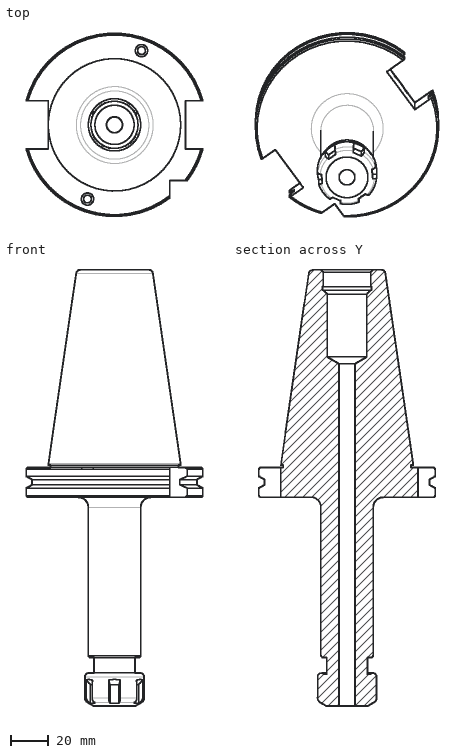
import cadquery as cq
import math


taper_height = 101.7
gauge_radius = 35.0
taper_slope = 7 / 48
top_fillet = 2.3
taper_foot = -1.2
collar_bottom = -2.0
relief_radius = 34.0

flange_radius = 48.7
flange_top = -3.2
flange_bottom = -19.2
flange_chamfer = 1.0
groove_centre = -11.1
groove_floor_width = 2.8
groove_depth = 3.0
groove_half_angle = 30

slot_width = 25.5
left_slot_x = -35.2
right_slot_x = 37.8
notch_x = 29.5
notch_y = -29.7

coolant_radius = 42.0
coolant_angle = 70
coolant_diameter = 4.2
coolant_mouth_diameter = 6.5
coolant_depth = 7.0

total_length = 231.8
bottom_z = taper_height - total_length
shank_radius = 28.0 / 2
shank_bottom = bottom_z + 25.7
shank_fillet = 5.0
shank_chamfer = 1.0
neck_radius = 22.0 / 2

nut_radius = 15.8
nut_top = bottom_z + 17.5
nut_top_fillet = 2.0
nut_mouth_radius = 12.0
nut_mouth_edge_radius = 13.2
nut_mouth_depth = 0.7
nut_face_radius = 11.1
nut_bevel_height = 2.8
nut_bevel_fillet = 2.8
nut_slot_count = 6
nut_slot_first_angle = 30
nut_slot_mouth_width = 6.5
nut_slot_floor_width = 4.6
nut_slot_floor = 13.5
nut_slot_top = bottom_z + 14.1
nut_slot_floor_top = bottom_z + 11.4

mouth_radius = 14.0
pilot_radius = 12.5
pilot_depth = 9.0
relief_groove_radius = 13.0
relief_groove_end = 11.0
thread_radius = 10.5
thread_start = 13.0
thread_end = 46.4
through_radius = 4.2
drill_half_angle = 60


def revolve(points):
    """Turn a closed (radius, z) outline about the Z axis."""
    return cq.Workplane("XZ").polyline(points).close().revolve(360, (0, 0), (0, 1))


def make_taper():
    top_radius = gauge_radius - taper_height * taper_slope
    foot_radius = gauge_radius - taper_foot * taper_slope
    taper = revolve([
        (0, flange_bottom),
        (relief_radius, flange_bottom),
        (relief_radius, collar_bottom),
        (foot_radius, collar_bottom),
        (foot_radius, taper_foot),
        (top_radius, taper_height),
        (0, taper_height),
    ])
    return taper.faces(">Z").edges().fillet(top_fillet)


def make_groove():
    floor_radius = flange_radius - groove_depth
    floor_half = groove_floor_width / 2
    mouth_half = floor_half + groove_depth * math.tan(math.radians(groove_half_angle))
    return revolve([
        (floor_radius, groove_centre - floor_half),
        (flange_radius, groove_centre - mouth_half),
        (flange_radius, groove_centre + mouth_half),
        (floor_radius, groove_centre + floor_half),
    ])


def flange_cut(x_start, x_end, y_start, y_end):
    """Rectangular cutter as tall as the flange."""
    return cq.Workplane("XY").box(
        x_end - x_start, y_end - y_start, flange_top - flange_bottom, centered=False
    ).translate((x_start, y_start, flange_bottom))


def make_coolant_hole():
    """Countersunk blind drill hole at +X."""
    radius = coolant_diameter / 2
    mouth = coolant_mouth_diameter / 2
    sink_depth = mouth - radius
    tip_depth = coolant_depth + radius / math.tan(math.radians(drill_half_angle))
    hole = revolve([
        (0, 0),
        (mouth, 0),
        (radius, -sink_depth),
        (radius, -coolant_depth),
        (0, -tip_depth),
    ])
    return hole.translate((coolant_radius, 0, flange_top))


def make_flange():
    height = flange_top - flange_bottom
    flange = cq.Workplane("XY").workplane(offset=flange_bottom).circle(flange_radius).extrude(height)
    flange = flange.edges().chamfer(flange_chamfer)
    return flange.cut(make_groove())


def make_shank():
    shank = revolve([
        (0, shank_bottom),
        (shank_radius - shank_chamfer, shank_bottom),
        (shank_radius, shank_bottom + shank_chamfer),
        (shank_radius, flange_bottom),
        (0, flange_bottom),
    ])
    flare = (
        cq.Workplane("XZ")
        .moveTo(0, flange_bottom)
        .lineTo(shank_radius + shank_fillet, flange_bottom)
        .radiusArc((shank_radius, flange_bottom - shank_fillet), -shank_fillet)
        .lineTo(0, flange_bottom - shank_fillet)
        .close()
        .revolve(360, (0, 0), (0, 1))
    )
    neck = cq.Workplane("XY").workplane(offset=nut_top).circle(neck_radius).extrude(shank_bottom - nut_top)
    return shank.union(flare).union(neck)


def make_nut_slot():
    """Slot cutter at +X, widening outwards, with a roof that slopes up from the floor."""
    half_floor = nut_slot_floor_width / 2
    half_mouth = nut_slot_mouth_width / 2
    side = (
        cq.Workplane("XZ")
        .moveTo(nut_slot_floor, bottom_z)
        .lineTo(nut_radius, bottom_z)
        .lineTo(nut_radius, nut_slot_top)
        .lineTo(nut_slot_floor, nut_slot_floor_top)
        .close()
        .extrude(half_mouth, both=True)
    )
    plan = (
        cq.Workplane("XY")
        .workplane(offset=bottom_z)
        .moveTo(nut_slot_floor, -half_floor)
        .lineTo(nut_radius, -half_mouth)
        .lineTo(nut_radius, half_mouth)
        .lineTo(nut_slot_floor, half_floor)
        .close()
        .extrude(nut_slot_top - bottom_z)
    )
    return side.intersect(plan)


def make_nut():
    nut = revolve([
        (0, bottom_z),
        (nut_face_radius, bottom_z),
        (nut_radius, bottom_z + nut_bevel_height),
        (nut_radius, nut_top),
        (0, nut_top),
    ])
    nut = nut.faces(">Z").edges().fillet(nut_top_fillet)
    mouth = revolve([
        (neck_radius, nut_top),
        (nut_mouth_edge_radius, nut_top),
        (nut_mouth_radius, nut_top - nut_mouth_depth),
        (neck_radius, nut_top - nut_mouth_depth),
    ])
    nut = nut.cut(mouth)
    bevel_edge = cq.selectors.BoxSelector(
        (-nut_radius, -nut_radius, bottom_z + nut_bevel_height / 2),
        (nut_radius, nut_radius, bottom_z + 3 * nut_bevel_height / 2),
    )
    nut = nut.edges(bevel_edge).fillet(nut_bevel_fillet)
    slot = make_nut_slot()
    for index in range(nut_slot_count):
        angle = nut_slot_first_angle + index * 360 / nut_slot_count
        nut = nut.cut(slot.rotate((0, 0, 0), (0, 0, 1), angle))
    return nut


def make_bore():
    mouth_depth = mouth_radius - pilot_radius
    cone_depth = (thread_radius - through_radius) / math.tan(math.radians(drill_half_angle))
    return revolve([
        (0, taper_height),
        (mouth_radius, taper_height),
        (pilot_radius, taper_height - mouth_depth),
        (pilot_radius, taper_height - pilot_depth),
        (relief_groove_radius, taper_height - pilot_depth),
        (relief_groove_radius, taper_height - relief_groove_end),
        (pilot_radius, taper_height - relief_groove_end),
        (thread_radius, taper_height - thread_start),
        (thread_radius, taper_height - thread_end),
        (through_radius, taper_height - thread_end - cone_depth),
        (through_radius, bottom_z),
        (0, bottom_z),
    ])


body = make_taper().union(make_flange()).union(make_shank()).union(make_nut())

half_slot = slot_width / 2
body = body.cut(flange_cut(-flange_radius, left_slot_x, -half_slot, half_slot))
body = body.cut(flange_cut(right_slot_x, flange_radius, -half_slot, half_slot))
body = body.cut(flange_cut(notch_x, flange_radius, -flange_radius, notch_y))

for angle in (coolant_angle, coolant_angle + 180):
    body = body.cut(make_coolant_hole().rotate((0, 0, 0), (0, 0, 1), angle))

result = body.cut(make_bore())